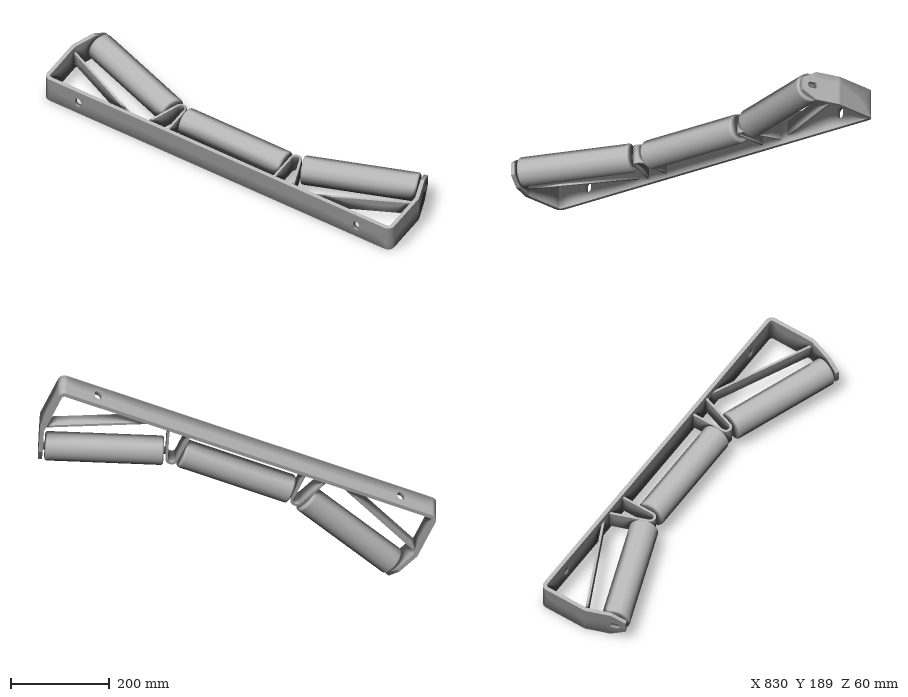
import cadquery as cq
import math


frame_length = 830.0
frame_depth = 189.0
frame_width = 60.0
frame_thickness = 8.0
frame_bend = 6.0
tilt_angle = 20.0
arm_bend_y = 109.0
end_cut_length = 31.5
end_cut_width = 17.0
arm_slot_width = 12.5
arm_slot_length = 21.5
arm_slot_rise = 2.0
mount_slot_x = 333.0
mount_slot_width = 14.0
mount_slot_length = 22.0

roller_diameter = 60.0
roller_length = 241.0
roller_edge_radius = 5.0
shaft_diameter = 15.0
middle_roller_y = 70.5
outer_roller_x = 269.0
outer_roller_y = 120.0

bracket_thickness = 5.0
bracket_width = 40.0
bracket_bend = 7.9
bracket_gap = 4.0

brace_thickness = 5.0
brace_width = 30.0
brace_top_y = 109.0
brace_foot_x = 194.0

tilt = math.radians(tilt_angle)
half_length = frame_length / 2
half_width = frame_width / 2
inner_x = half_length - frame_thickness
inner_bend_y = arm_bend_y - frame_thickness * math.tan(tilt / 2)

arm_rise = frame_depth - arm_bend_y
arm_end_x = half_length - arm_rise * math.tan(tilt)

offset_x = arm_end_x - outer_roller_x
offset_y = frame_depth - outer_roller_y
arm_reach = offset_x * math.cos(tilt) + offset_y * math.sin(tilt)
arm_end_offset = offset_y * math.cos(tilt) - offset_x * math.sin(tilt)

bracket_face = roller_length / 2 + bracket_gap
bracket_reach = bracket_face + bracket_thickness


def mirrored(body):
    return body.mirror("YZ")


def tilted(body):
    """Move a body built around the origin along X to the place of the right outer roller."""
    turned = body.rotate((0, 0, 0), (0, 0, 1), tilt_angle)
    return turned.translate((outer_roller_x, outer_roller_y, 0))


def along_x(radius, start, end):
    """Cylinder on the X axis between two positions."""
    return cq.Workplane("YZ", origin=(start, 0, 0)).circle(radius).extrude(end - start)


def plate(outline, width):
    """Extrude an XY outline by equal amounts to both sides of the XY plane."""
    return cq.Workplane("XY").polyline(outline).close().extrude(width / 2, both=True)


def round_corner(body, corner, radius):
    """Fillet the edge parallel to Z that passes through an XY corner."""
    x, y = corner
    reach = 1.0
    around = cq.selectors.BoxSelector(
        (x - reach, y - reach, -frame_width), (x + reach, y + reach, frame_width))
    return body.edges(around).fillet(radius)


def make_half_frame():
    outer_corner = (half_length, 0)
    outer_bend = (half_length, arm_bend_y)
    inner_corner = (inner_x, frame_thickness)
    inner_bend = (inner_x, inner_bend_y)
    arm_end_outer = (arm_end_x, frame_depth)
    arm_end_inner = (arm_end_x - frame_thickness * math.cos(tilt),
                     frame_depth - frame_thickness * math.sin(tilt))
    half = plate([(0, 0), outer_corner, outer_bend, arm_end_outer, arm_end_inner,
                  inner_bend, inner_corner, (0, frame_thickness)], frame_width)
    for corner in (outer_corner, outer_bend):
        half = round_corner(half, corner, frame_bend + frame_thickness)
    for corner in (inner_corner, inner_bend):
        half = round_corner(half, corner, frame_bend)

    mount_slot = (cq.Workplane("XZ").center(mount_slot_x, 0)
                  .slot2D(mount_slot_length, mount_slot_width, 90).extrude(-frame_thickness))
    half = half.cut(mount_slot)

    arm_plane = cq.Workplane("YZ", origin=(arm_reach, 0, 0))
    shaft_slot = (arm_plane.center(arm_slot_rise, 0)
                  .slot2D(arm_slot_length, arm_slot_width).extrude(-frame_thickness))
    half = half.cut(tilted(shaft_slot))
    for side in (-1, 1):
        end_cut = (arm_plane
                   .moveTo(arm_end_offset, side * half_width)
                   .lineTo(arm_end_offset - end_cut_length, side * half_width)
                   .lineTo(arm_end_offset, side * (half_width - end_cut_width))
                   .close().extrude(-frame_thickness))
        half = half.cut(tilted(end_cut))
    return half


def make_frame():
    half = make_half_frame()
    return half.union(mirrored(half))


def make_roller(left_reach, right_reach):
    """Roller on the X axis whose shaft reaches the given distances from its centre."""
    drum = along_x(roller_diameter / 2, -roller_length / 2, roller_length / 2)
    drum = drum.faces("<X or >X").edges().fillet(roller_edge_radius)
    return drum.union(along_x(shaft_diameter / 2, -left_reach, right_reach))


def make_bracket():
    """Narrow inverted V: an upright leg at the middle roller, a leaning leg at the outer roller."""
    face_x = outer_roller_x - bracket_face * math.cos(tilt)
    face_y = outer_roller_y - bracket_face * math.sin(tilt)

    def leaning_leg_x(y, depth):
        return face_x - depth / math.cos(tilt) - (y - face_y) * math.tan(tilt)

    def apex(depth):
        x = bracket_face + depth
        return (x, (leaning_leg_x(0, depth) - x) / math.tan(tilt))

    foot_y = frame_thickness
    outer_apex = apex(0)
    inner_apex = apex(bracket_thickness)
    bracket = plate([(bracket_face, foot_y), outer_apex,
                     (leaning_leg_x(foot_y, 0), foot_y),
                     (leaning_leg_x(foot_y, bracket_thickness), foot_y),
                     inner_apex, (bracket_reach, foot_y)], bracket_width)
    bracket = round_corner(bracket, outer_apex, bracket_bend + bracket_thickness)
    bracket = round_corner(bracket, inner_apex, bracket_bend)

    upright_hole = along_x(shaft_diameter / 2, bracket_face, bracket_reach)
    leaning_hole = along_x(shaft_diameter / 2, -bracket_reach, -bracket_face)
    bracket = bracket.cut(upright_hole.translate((0, middle_roller_y, 0)))
    return bracket.cut(tilted(leaning_hole))


def make_brace():
    """Sloping plate from the bend below the arm down to the frame base."""
    top_x = inner_x - (brace_top_y - inner_bend_y) * math.tan(tilt)
    slope = math.atan2(brace_top_y - frame_thickness, top_x - brace_foot_x)
    lower_foot_x = brace_foot_x + brace_thickness / math.sin(slope)
    lower_top_y = frame_thickness + (inner_x - lower_foot_x) * math.tan(slope)
    return plate([(top_x, brace_top_y), (brace_foot_x, frame_thickness),
                  (lower_foot_x, frame_thickness), (inner_x, lower_top_y)], brace_width)


frame = make_frame()
middle_roller = make_roller(bracket_reach, bracket_reach).translate((0, middle_roller_y, 0))

outer_roller = tilted(make_roller(bracket_reach, arm_reach - frame_thickness))
bracket = make_bracket()
brace = make_brace()

bodies = [frame, middle_roller]
for right_body in (outer_roller, bracket, brace):
    bodies += [right_body, mirrored(right_body)]

result = cq.Compound.makeCompound([body.solids().val() for body in bodies])